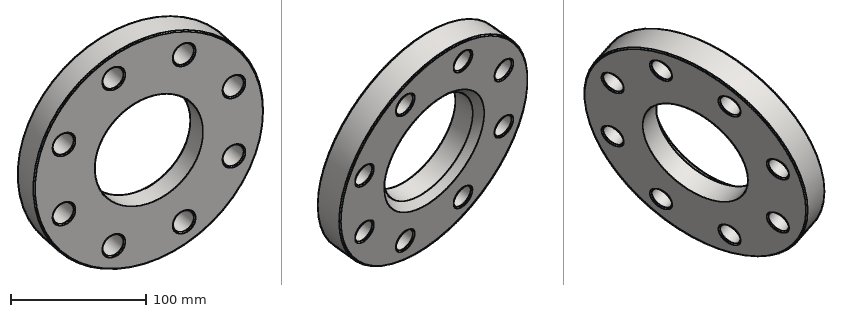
import cadquery as cq

thickness = 24.0
outer_diameter = 200.0
rim_chamfer = 1.0

bore_diameter = 94.0
bore_mouth_diameter = 106.0
bore_chamfer = (bore_mouth_diameter - bore_diameter) / 2

bolt_count = 8
bolt_circle_diameter = 160.0
bolt_hole_diameter = 18.0
bolt_hole_chamfer = 1.0


def make_cylinder(diameter):
    """Cylinder along X, as long as the flange is thick and centred on X = 0."""
    start = (-thickness / 2, 0, 0)
    return cq.Workplane("YZ", origin=start).circle(diameter / 2).extrude(thickness)


def make_flare(diameter, chamfer, side):
    """Cone that chamfers a hole where it meets the face on the given X side (-1 or 1)."""
    face_centre = (side * thickness / 2, 0, 0)
    return (
        cq.Workplane("YZ", origin=face_centre)
        .circle(diameter / 2 + chamfer)
        .workplane(offset=-side * chamfer)
        .circle(diameter / 2)
        .loft()
    )


disc = make_cylinder(outer_diameter).faces("<X or >X").edges().chamfer(rim_chamfer)

bore = make_cylinder(bore_diameter).union(make_flare(bore_diameter, bore_chamfer, -1))
result = disc.cut(bore)

bolt_hole = make_cylinder(bolt_hole_diameter)
for side in (-1, 1):
    bolt_hole = bolt_hole.union(make_flare(bolt_hole_diameter, bolt_hole_chamfer, side))
bolt_hole = bolt_hole.translate((0, bolt_circle_diameter / 2, 0))

pitch_angle = 360 / bolt_count
for index in range(bolt_count):
    angle = (index + 0.5) * pitch_angle
    result = result.cut(bolt_hole.rotate((0, 0, 0), (1, 0, 0), angle))